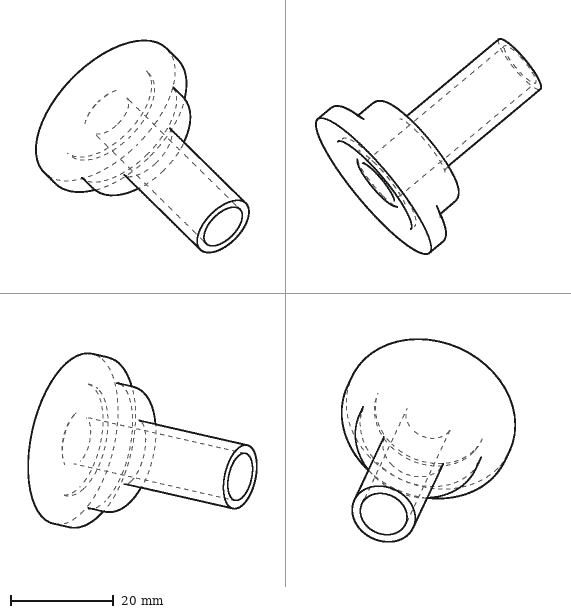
import cadquery as cq
import math

length = 38.0
tube_radius = 12.7 / 2
bore_radius = 9.4 / 2

flange_radius = 34.0 / 2
flange_rim_width = 4.1
flange_back_angle = math.radians(20.0)
hub_radius = 25.0 / 2
hub_end = 12.0
flange_rim_round = 0.9
flange_hub_round = 1.9
hub_rim_round = 1.55
hub_tube_round = 1.55

recess_radius = 22.2 / 2
recess_depth = 1.45
recess_mouth_round = 0.3
recess_floor_round = 0.4

lip_height = 0.45
groove_center_radius = 7.3
groove_outer_radius = 8.15
groove_arc_radius = 1.7
groove_edge_round = 0.75
lip_outer_round = 0.4
bore_mouth_round = 0.45

cone_end = flange_rim_width + (flange_radius - hub_radius) * math.tan(flange_back_angle)
lip_x = recess_depth - lip_height
groove_half_width = groove_outer_radius - groove_center_radius
groove_center_x = recess_depth - math.sqrt(groove_arc_radius**2 - groove_half_width**2)
groove_bottom = groove_center_x + groove_arc_radius
lip_outer_radius = groove_center_radius - math.sqrt(
    groove_arc_radius**2 - (lip_x - groove_center_x) ** 2
)


def revolved_blank():
    """Revolve the (x, radius) half section with sharp corners."""
    return (
        cq.Workplane("XY")
        .moveTo(0, recess_radius)
        .lineTo(0, flange_radius)
        .lineTo(flange_rim_width, flange_radius)
        .lineTo(cone_end, hub_radius)
        .lineTo(hub_end, hub_radius)
        .lineTo(hub_end, tube_radius)
        .lineTo(length, tube_radius)
        .lineTo(length, bore_radius)
        .lineTo(lip_x, bore_radius)
        .lineTo(lip_x, lip_outer_radius)
        .threePointArc(
            (groove_bottom, groove_center_radius),
            (recess_depth, groove_outer_radius),
        )
        .lineTo(recess_depth, recess_radius)
        .close()
        .revolve(360, (0, 0, 0), (1, 0, 0))
    )


def round_edge(body, x, radius, size):
    """Fillet the circular edge of the given radius at position x."""
    tolerance = 0.005
    edges = [
        edge
        for edge in body.edges("%CIRCLE").vals()
        if abs(edge.radius() - radius) < tolerance
        and abs(edge.arcCenter().x - x) < tolerance
        and edge.IsClosed()
    ]
    return body.newObject(edges).fillet(size)


rounded_edges = [
    (flange_rim_width, flange_radius, flange_rim_round),
    (cone_end, hub_radius, flange_hub_round),
    (hub_end, hub_radius, hub_rim_round),
    (hub_end, tube_radius, hub_tube_round),
    (0, recess_radius, recess_mouth_round),
    (recess_depth, recess_radius, recess_floor_round),
    (recess_depth, groove_outer_radius, groove_edge_round),
    (lip_x, lip_outer_radius, lip_outer_round),
    (lip_x, bore_radius, bore_mouth_round),
]

result = revolved_blank()
for edge_x, edge_radius, fillet_size in rounded_edges:
    result = round_edge(result, edge_x, edge_radius, fillet_size)